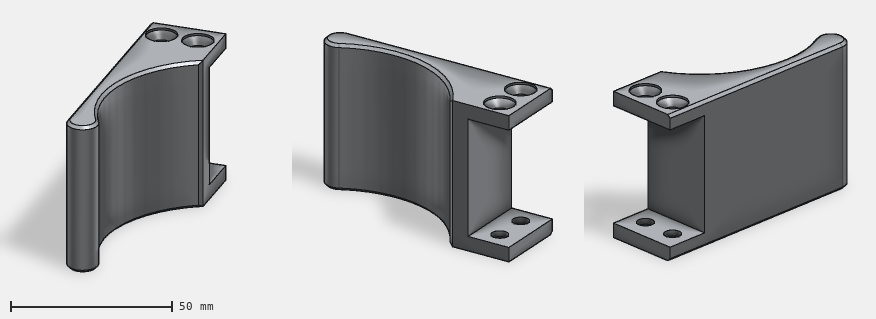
import cadquery as cq
import math

length = 80.0
height = 50.0
width = height / 2
tip_radius = width / 5
tab_length = 15.0
tab_thickness = 5.0
edge_chamfer = width / 25

hole_diameter = 5.5
sink_diameter = 10.1
sink_recess = 0.7
hole_spacing = 12.0

scoop_offset = 20.0
scoop_radius = (scoop_offset**2 - tip_radius**2) / (2 * tip_radius)
scoop_x = tip_radius + scoop_radius
scoop_y = tip_radius + scoop_offset

centre_distance = scoop_radius + tip_radius
join_x = tip_radius + tip_radius * scoop_radius / centre_distance
join_y = tip_radius + tip_radius * scoop_offset / centre_distance
scoop_end_y = scoop_y + math.sqrt(scoop_radius**2 - (scoop_x - width) ** 2)


def make_body():
    """Full-height grip outline, with its outer edges chamfered."""
    body = (
        cq.Workplane("XY")
        .moveTo(0, length)
        .lineTo(0, tip_radius)
        .threePointArc((tip_radius, 0), (join_x, join_y))
        .threePointArc((tip_radius, scoop_y), (width, scoop_end_y))
        .lineTo(width, length)
        .close()
        .extrude(height)
    )
    long_edges = body.edges("<X and |Y")
    end_arcs = body.faces("|Z").edges("%CIRCLE")
    scoop_corner = body.edges(cq.selectors.NearestToPointSelector((width, scoop_end_y, height / 2)))
    return long_edges.add(end_arcs).add(scoop_corner).chamfer(edge_chamfer)


def make_tab_gap():
    """Opening between the two mounting tabs."""
    return cq.Workplane("XY").box(width, tab_length, height - 2 * tab_thickness, centered=False).translate(
        (0, length - tab_length, tab_thickness)
    )


def make_screw_hole(x):
    """Screw hole through both tabs, countersunk from each outer face."""
    hole_radius = hole_diameter / 2
    sink_radius = sink_diameter / 2
    cone_bottom = sink_recess + sink_radius - hole_radius
    profile = [
        (0, 0),
        (sink_radius, 0),
        (sink_radius, sink_recess),
        (hole_radius, cone_bottom),
        (hole_radius, height - cone_bottom),
        (sink_radius, height - sink_recess),
        (sink_radius, height),
        (0, height),
    ]
    cutter = cq.Workplane("XZ").polyline(profile).close().revolve(360, (0, 0), (0, 1))
    return cutter.translate((x, length - tab_length / 2, 0))


result = make_body().cut(make_tab_gap())
for side in (-1, 1):
    result = result.cut(make_screw_hole(width / 2 + side * hole_spacing / 2))